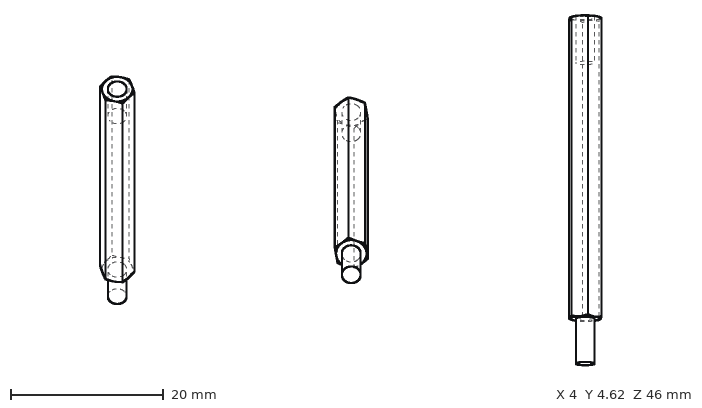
import cadquery as cq
import math

total_length = 46.0
stud_length = 6.0
across_flats = 4.0
thread_diameter = 2.5
hole_depth = stud_length
chamfer_angle = 30.0
half_side_angle = 30.0

hex_length = total_length - stud_length
across_corners = across_flats / math.cos(math.radians(half_side_angle))
corner_radius = across_corners / 2
flat_radius = across_flats / 2
chamfer_height = (corner_radius - flat_radius) * math.tan(math.radians(chamfer_angle))


def make_chamfer_envelope():
    """Turned blank with coned ends that trims the corners of the hexagon."""
    return (
        cq.Workplane("XZ")
        .moveTo(0, 0)
        .lineTo(flat_radius, 0)
        .lineTo(corner_radius, chamfer_height)
        .lineTo(corner_radius, hex_length - chamfer_height)
        .lineTo(flat_radius, hex_length)
        .lineTo(0, hex_length)
        .close()
        .revolve(360, (0, 0, 0), (0, 1, 0))
    )


def make_hex_spacer():
    """Hexagonal bar, corners along Y, with a blind hole in its top face."""
    bar = (
        cq.Workplane("XY")
        .polygon(6, across_corners)
        .extrude(hex_length)
        .rotate((0, 0, 0), (0, 0, 1), half_side_angle)
    )
    hole = (
        cq.Workplane("XY")
        .workplane(offset=hex_length - hole_depth)
        .circle(thread_diameter / 2)
        .extrude(hole_depth)
    )
    return bar.intersect(make_chamfer_envelope()).cut(hole)


def make_stud():
    """Plain round stud hanging from the bottom face of the spacer."""
    return cq.Workplane("XY").circle(thread_diameter / 2).extrude(-stud_length)


hex_spacer = make_hex_spacer()
stud = make_stud()

result = cq.Compound.makeCompound([hex_spacer.solids().val(), stud.val()])